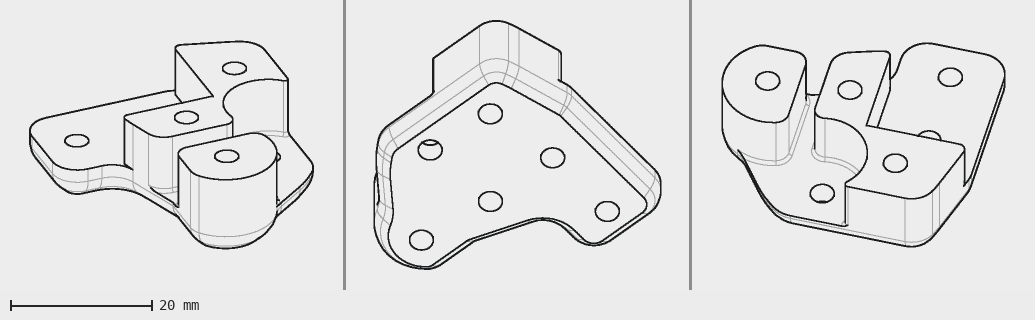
import cadquery as cq
import math

length = 37.17
width = 34.75
height = 12.8
boss_height = 12.67
foot_height = 5.25
channel_floor = 3.8
clearance = 3.7
selection_margin = 0.005

bottom_chamfer = 2.0
bottom_blend_radius = 2.97

foot_width = 15.13
step_y = 23.12
foot_corner_radius = 3.85
block_right = 22.97
ledge_end_x = 17.85
ledge_corner_y = 8.95
step_left_radius = 1.0
step_lower_radius = 0.78

left_bend = (0, 22.55)
lean_end = (2.65, 31.67)
left_top_corner = (3.95, width)
left_top_radius = 3.7

right_top_corner = (24.9, width)
right_top_radius = 4.45
slope_start = (28.1, 31.93)

boss_radius = 7.3
boss_x = length - boss_radius
boss_y = 18.85
boss_left = 26.3
boss_bottom = 12.38
boss_corner_radius = 2.0
slope_meets_boss = math.radians(67)
slope_end_radius = 4.85

front_edge_end_x = 26.0
front_edge_rise = 1 / 3
front_edge_blend = 0.07

channel_center = (19.9, 29.62)
channel_radius = 6.4
channel_middle_angle = math.radians(210)
channel_tip_radius = 0.5
channel_corner_radius = 1.5
floor_fillet = 0.5

bend_radius = 2.97
gentle_bend_radius = 14.85

hole_diameter = 3.4
hole_centers = [
    (7.47, 5.4),
    (7.47, 17.4),
    (19.03, 17.4),
    (9.35, 28.85),
    channel_center,
    (30.78, 18.65),
]


def front_edge_y(x):
    """Y position of the rising front edge at x."""
    return boss_bottom - (front_edge_end_x - x) * front_edge_rise


def boss_point(angle):
    """Point on the boss circle."""
    return (boss_x + boss_radius * math.cos(angle), boss_y + boss_radius * math.sin(angle))


def round_corners(body, corners):
    """Fillet the vertical edges that stand at the given (point, radius) pairs."""
    middle = body.val().BoundingBox().center.z
    for (x, y), radius in corners:
        edge = cq.selectors.NearestToPointSelector((x, y, middle))
        body = body.edges("|Z").edges(edge).fillet(radius)
    return body


boss_front_corner = boss_point(-math.asin((boss_y - boss_bottom) / boss_radius))
boss_back_corner = boss_point(math.acos((boss_left - boss_x) / boss_radius))
boss_far_point = boss_point(0)


def make_body():
    """Full-height outline with a chamfered and blended lower rim."""
    neck = (foot_width, front_edge_y(foot_width))
    slope_end = boss_point(slope_meets_boss)
    body = (
        cq.Workplane("XY")
        .polyline([(0, 0), (foot_width, 0), neck, (front_edge_end_x, boss_bottom), boss_front_corner])
        .threePointArc(boss_far_point, slope_end)
        .lineTo(*slope_start)
        .lineTo(*right_top_corner)
        .lineTo(*left_top_corner)
        .lineTo(*lean_end)
        .lineTo(*left_bend)
        .close()
        .extrude(height)
    )
    body = round_corners(body, [
        ((0, 0), foot_corner_radius),
        ((foot_width, 0), foot_corner_radius),
        (neck, foot_corner_radius),
        ((front_edge_end_x, boss_bottom), front_edge_blend),
        (boss_front_corner, bend_radius),
        (slope_end, slope_end_radius),
        (slope_start, gentle_bend_radius),
        (right_top_corner, right_top_radius),
        (left_top_corner, left_top_radius),
        (lean_end, gentle_bend_radius),
        (left_bend, bend_radius),
    ])
    body = body.faces("<Z").chamfer(bottom_chamfer)
    rim = cq.selectors.BoxSelector(
        (-clearance, -clearance, bottom_chamfer - selection_margin),
        (length + clearance, width + clearance, bottom_chamfer + selection_margin),
        boundingbox=True,
    )
    return body.edges(rim).fillet(bottom_blend_radius)


def make_step_cutter():
    """Space above the foot, in front of the block."""
    lean = (lean_end[0] - left_bend[0]) / (lean_end[1] - left_bend[1])
    left_corner = (left_bend[0] + lean * (step_y - left_bend[1]), step_y)
    lean_top = (left_corner[0] + lean * clearance, step_y + clearance)
    lower_corner = (foot_width, ledge_corner_y)
    cutter = (
        cq.Workplane("XY", origin=(0, 0, foot_height))
        .polyline([
            (-clearance, -clearance),
            (ledge_end_x, -clearance),
            (ledge_end_x, front_edge_y(ledge_end_x)),
            lower_corner,
            (foot_width, step_y),
            left_corner,
            lean_top,
            (-clearance, lean_top[1]),
        ])
        .close()
        .extrude(height)
    )
    return round_corners(cutter, [(left_corner, step_left_radius), (lower_corner, step_lower_radius)])


def make_block_side():
    """Everything on the block's side of the channel."""
    center_x, center_y = channel_center
    tip = (center_x - math.sqrt(channel_radius**2 - (width - center_y) ** 2), width)
    corner = (block_right, center_y - math.sqrt(channel_radius**2 - (block_right - center_x) ** 2))
    middle = (
        center_x + channel_radius * math.cos(channel_middle_angle),
        center_y + channel_radius * math.sin(channel_middle_angle),
    )
    front_corner = (block_right, front_edge_y(block_right))
    side = (
        cq.Workplane("XY", origin=(0, 0, channel_floor))
        .moveTo(-clearance, width)
        .lineTo(*tip)
        .threePointArc(middle, corner)
        .lineTo(*front_corner)
        .lineTo(ledge_end_x, front_edge_y(ledge_end_x))
        .lineTo(ledge_end_x, -clearance)
        .lineTo(-clearance, -clearance)
        .close()
        .extrude(height)
    )
    return round_corners(side, [
        (tip, channel_tip_radius),
        (corner, channel_corner_radius),
        (front_corner, bend_radius),
    ])


def make_boss():
    """Round boss with a flat side facing the channel."""
    front_left = (boss_left, boss_bottom)
    boss = (
        cq.Workplane("XY", origin=(0, 0, channel_floor))
        .moveTo(*front_left)
        .lineTo(*boss_front_corner)
        .threePointArc(boss_far_point, boss_back_corner)
        .close()
        .extrude(height)
    )
    return round_corners(boss, [
        (front_left, boss_corner_radius),
        (boss_back_corner, boss_corner_radius),
        (boss_front_corner, bend_radius),
    ])


def make_channel_cutter():
    """Slab above the channel floor, leaving the block and the boss, with a filleted floor."""
    margin = 2 * clearance
    slab = (
        cq.Workplane("XY", origin=(-margin, -margin, channel_floor))
        .rect(length + 2 * margin, width + 2 * margin, centered=False)
        .extrude(height)
    )
    cutter = slab.cut(make_block_side()).cut(make_boss())
    return cutter.faces("<Z").edges().fillet(floor_fillet)


def make_boss_top_cutter():
    """Thin layer that lowers the boss top."""
    return (
        cq.Workplane("XY", origin=(block_right, 0, boss_height))
        .rect(length, width, centered=False)
        .extrude(height)
    )


def make_holes():
    """Through holes."""
    return cq.Workplane("XY").pushPoints(hole_centers).circle(hole_diameter / 2).extrude(height)


result = (
    make_body()
    .cut(make_step_cutter())
    .cut(make_channel_cutter())
    .cut(make_boss_top_cutter())
    .cut(make_holes())
)